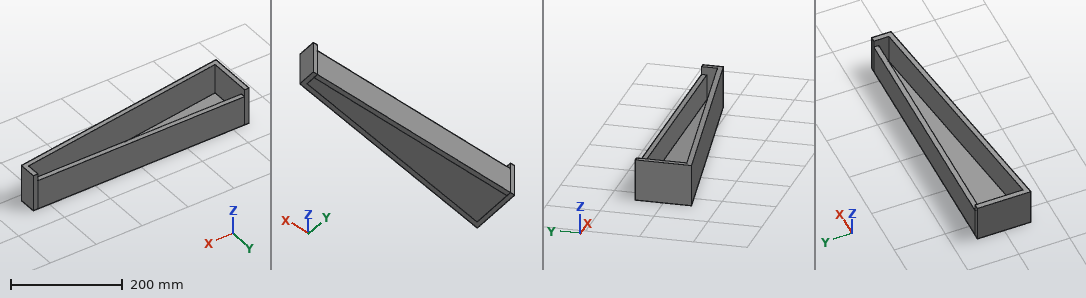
import cadquery as cq

length = 470.0
left_depth = 105.0
right_depth = 38.0
height = 78.0

board = 10.0
floor_thickness = 15.0
rear_drop = 15.0

inner_right = length - board
slope = (left_depth - right_depth) / length
front_board_y = board * (1 + slope**2) ** 0.5
rear_board_front = -board


def inner_front_y(x):
    """Y of the inner face of the sloping front board at station x."""
    return -left_depth + slope * x + front_board_y


def make_frame():
    """Left end, sloping front and right end, open at the rear."""
    outline = [
        (0, 0),
        (0, -left_depth),
        (length, -right_depth),
        (length, 0),
        (inner_right, 0),
        (inner_right, inner_front_y(inner_right)),
        (board, inner_front_y(board)),
        (board, 0),
    ]
    return cq.Workplane("XY").polyline(outline).close().extrude(height)


def make_rear_board():
    """Lower board that closes the rear between the two ends."""
    return cq.Workplane("XY").box(
        inner_right - board, board, height - rear_drop, centered=False
    ).translate((board, rear_board_front, 0))


def make_floor():
    """Tapered floor filling the space between the frame and the rear board."""
    outline = [
        (board, rear_board_front),
        (board, inner_front_y(board)),
        (inner_right, inner_front_y(inner_right)),
        (inner_right, rear_board_front),
    ]
    return cq.Workplane("XY").polyline(outline).close().extrude(floor_thickness)


frame = make_frame()
rear_board = make_rear_board()
floor = make_floor()

result = cq.Compound.makeCompound([frame.val(), rear_board.val(), floor.val()])